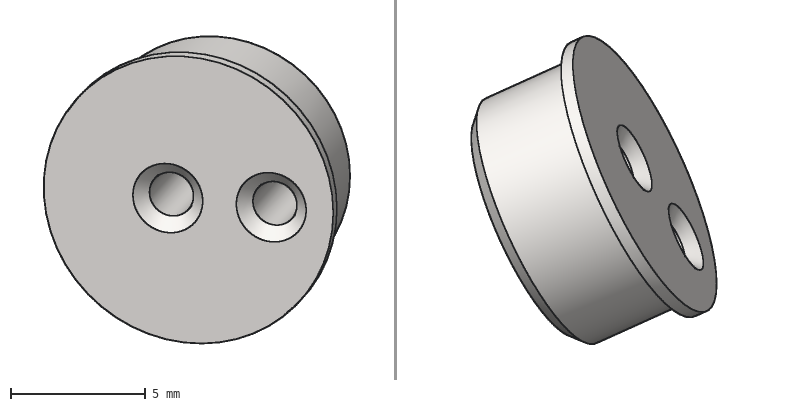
import cadquery as cq

flange_diameter = 11.2
flange_thickness = 0.5
body_diameter = 10.0
total_length = 4.9
rear_chamfer = 0.5

hole_diameter = 1.7
countersink_diameter = 2.7
countersink_angle = 90.0
first_hole_x = -0.8
hole_spacing = 4.0
hole_count = 2


def make_plug():
    """Chamfered cylindrical body with a thin flange, front face at Y = 0."""
    front = cq.Workplane("XZ")
    body = front.circle(body_diameter / 2).extrude(-total_length)
    body = body.faces(">Y").edges().chamfer(rear_chamfer)
    flange = front.circle(flange_diameter / 2).extrude(-flange_thickness)
    return body.union(flange)


def cut_countersunk_holes(plug):
    """Drill the row of through holes, countersunk from the flange face."""
    hole_centres = [(first_hole_x + i * hole_spacing, 0) for i in range(hole_count)]
    return (
        plug.faces("<Y")
        .workplane(origin=(0, 0, 0))
        .pushPoints(hole_centres)
        .cskHole(hole_diameter, countersink_diameter, countersink_angle)
    )


result = cut_countersunk_holes(make_plug())